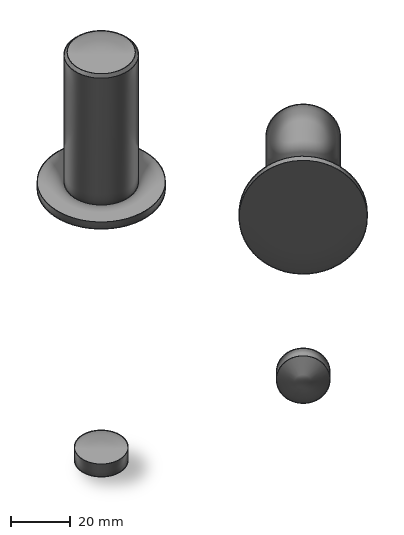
import cadquery as cq

total_height = 179.9

flange_diameter = 43.0
flange_thickness = 3.0
shank_diameter = 25.0
pin_height = 59.0
top_chamfer = 1.0

plug_diameter = 18.0
plug_height = 9.0
cone_height = 3.5


def make_pin():
    """Round shank with a chamfered top, standing on a thin flange."""
    flange_bottom = total_height - pin_height
    flange = (
        cq.Workplane("XY", origin=(0, 0, flange_bottom))
        .circle(flange_diameter / 2)
        .extrude(flange_thickness)
    )
    shank = (
        cq.Workplane("XY", origin=(0, 0, flange_bottom))
        .circle(shank_diameter / 2)
        .extrude(pin_height)
        .faces(">Z")
        .chamfer(top_chamfer)
    )
    return flange.union(shank)


def make_plug():
    """Short cylinder with a conical point at the bottom, revolved about Z."""
    radius = plug_diameter / 2
    return (
        cq.Workplane("XZ")
        .moveTo(0, 0)
        .lineTo(radius, cone_height)
        .lineTo(radius, plug_height)
        .lineTo(0, plug_height)
        .close()
        .revolve(360, (0, 0, 0), (0, 1, 0))
    )


pin = make_pin()
plug = make_plug()

result = cq.Compound.makeCompound([pin.val(), plug.val()])